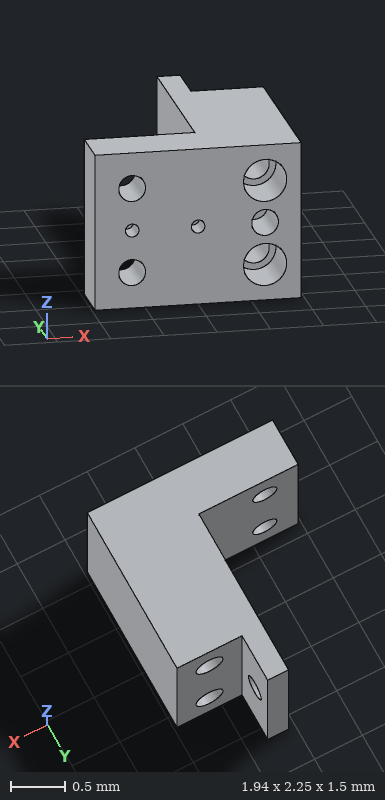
import cadquery as cq

width = 1.94
depth = 2.25
height = 1.5

flange_thickness = 0.5
tab_length = 0.5
block_width = 0.9
tab_thickness = 0.22
tab_left = width - block_width
tab_right = tab_left + tab_thickness
block_back = depth - tab_length

mid_height = height / 2
left_column = 0.35
column_spacing = 1.25
right_column = left_column + column_spacing
row_offset = 0.406
clearance_diameter = 0.25
bolt_diameter = 0.28
counterbore_diameter = 0.406
counterbore_depth = 0.5
dowel_diameter = 0.25
dowel_depth = 0.5
pin_diameter = 0.125
pin_depth = 0.25

tab_hole_diameter = 0.25
tab_hole_y = depth - tab_length / 2


def make_body():
    """Extrude the stepped plan outline over the full height."""
    outline = [
        (0, 0),
        (width, 0),
        (width, block_back),
        (tab_right, block_back),
        (tab_right, depth),
        (tab_left, depth),
        (tab_left, flange_thickness),
        (0, flange_thickness),
    ]
    return cq.Workplane("XY").polyline(outline).close().extrude(height)


def front_hole(x, z, diameter, length):
    """Cylinder running from the front face toward +Y."""
    return cq.Workplane("XZ", origin=(x, 0, z)).circle(diameter / 2).extrude(-length)


def tab_hole():
    """Cylinder along X through the tab at mid-height."""
    plane = cq.Workplane("YZ", origin=(tab_left, tab_hole_y, mid_height))
    return plane.circle(tab_hole_diameter / 2).extrude(tab_thickness)


result = make_body()

for z in (mid_height - row_offset, mid_height + row_offset):
    result = result.cut(front_hole(left_column, z, clearance_diameter, flange_thickness))
    result = result.cut(front_hole(right_column, z, bolt_diameter, block_back))
    result = result.cut(front_hole(right_column, z, counterbore_diameter, counterbore_depth))

result = result.cut(front_hole(right_column, mid_height, dowel_diameter, dowel_depth))
for x in (left_column, width / 2):
    result = result.cut(front_hole(x, mid_height, pin_diameter, pin_depth))

result = result.cut(tab_hole())